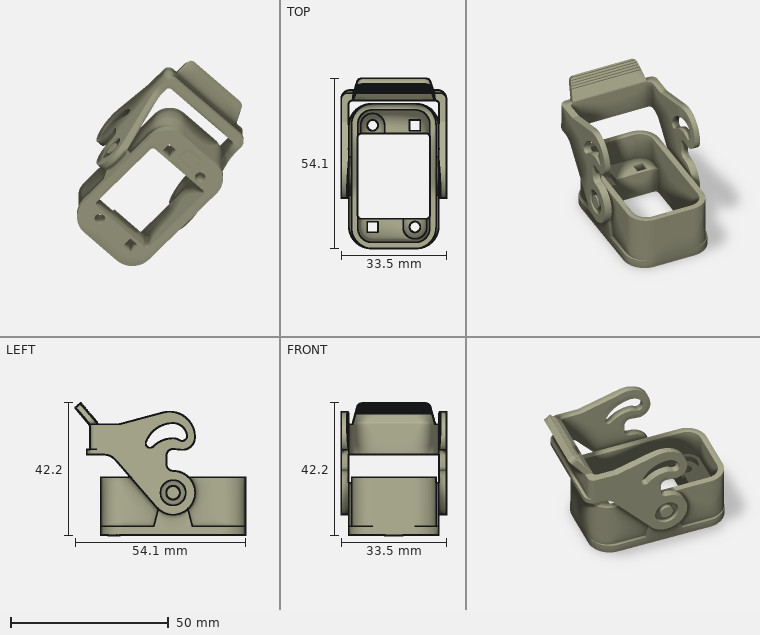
import cadquery as cq
import math

HOUSING_LENGTH = 46.0
HOUSING_HEIGHT = 18.45
FLANGE_WIDTH = 28.7
FLANGE_HEIGHT = 2.85
FLANGE_CORNER_RADIUS = 7.3
BODY_WIDTH = 26.8
BODY_CORNER_RADIUS = 6.6
WALL = 1.95
SHELF_HEIGHT = 9.0
WINDOW_LENGTH = 26.95
WINDOW_CORNER_RADIUS = 1.1

HOLE_X = 6.7
HOLE_Y = 16.15
SCREW_HOLE_DIAMETER = 3.35
SQUARE_HOLE_SIDE = 3.3
SCREW_SEAT_RADIUS = 3.8
SCREW_SEAT_DEPTH = 2.0

PAD_WIDTH = 5.7
PAD_LENGTH = 3.55
PAD_Y = 18.8
PAD_DEPTH = 0.2

PIVOT_Z = 13.5
PIN_RADIUS = 2.1
PIN_HOLE_RADIUS = 2.2
PIN_RECESS_RADIUS = 4.0
PIN_RECESS_DEPTH = 1.4
EAR_TOP_RADIUS = 3.25
EAR_BASE_HALF_LENGTH = 6.1

OVERALL_WIDTH = 33.5
ARM_THICKNESS = (OVERALL_WIDTH - FLANGE_WIDTH) / 2
LEVER_INNER_BACK = 24.0
LEVER_BACK = LEVER_INNER_BACK + ARM_THICKNESS
LEVER_INNER_RADIUS = 1.2
LEVER_OUTER_RADIUS = 2.0
PLATE_BOTTOM = 25.55
PLATE_TOP = 35.25
LIP_REACH = 1.05
LIP_HEIGHT = 1.75

EYE_RADIUS = 7.0
LOWER_EDGE_ANGLE = math.radians(49)
LOWER_EDGE_RADIUS = 5.0
UPPER_EDGE_ANGLE = math.radians(15)

NOTCH_FLOOR_Y = 2.05
NOTCH_RADIUS = 2.0
NOTCH_UPPER_Z = 25.35

HOOK_Z = 31.1
HOOK_RADIUS = 8.1
HOOK_TIP_RADIUS = 4.05

SLOT_BACK_RADIUS = 1.35
SLOT_BACK_Y = 7.3
SLOT_BACK_Z = 29.1
SLOT_ROOF_RADIUS = 4.45
SLOT_FRONT_RADIUS = 1.5
SLOT_FRONT_ANGLE = math.radians(7)
SLOT_FLOOR_Z = 30.8

RAMP_START_Y = 4.7
RAMP_START_Z = 38.35
RAMP_LINE_ANGLE = math.radians(54)
RAMP_ANGLE = math.radians(5)
RAMP_REACH = 21.65

TAB_ANGLE = math.radians(50)
TAB_TIP_Y = 31.1
TAB_TIP_Z = 42.0
TAB_TIP_HALF_WIDTH = 11.35
TAB_BASE_HALF_WIDTH = 13.1
TAB_EDGE_CHAMFER = 0.2
TAB_CORNER_RADIUS = 2.0
TAB_INNER_BEND_RADIUS = 0.9
TAB_OUTER_BEND_RADIUS = 1.9

GROOVE_COUNT = 5
GROOVE_PITCH = 0.85
GROOVE_WIDTH = 0.55
FIRST_GROOVE_OFFSET = 0.75

SIDES = (-1, 1)


def rounded_block(width, length, radius, bottom, top):
    """Upright block centred on the Z axis with rounded vertical edges."""
    block = cq.Workplane("XY").workplane(offset=bottom).rect(width, length).extrude(top - bottom)
    return block.edges("|Z").fillet(radius)


def ears():
    """Tapered ears on both long sides, rounded around the pivot axis."""
    base_to_pivot = math.hypot(EAR_BASE_HALF_LENGTH, PIVOT_Z - FLANGE_HEIGHT)
    lean = math.asin(EAR_TOP_RADIUS / base_to_pivot) - math.atan2(
        EAR_BASE_HALF_LENGTH, PIVOT_Z - FLANGE_HEIGHT
    )
    tangent_y = EAR_TOP_RADIUS * math.cos(lean)
    tangent_z = PIVOT_Z - EAR_TOP_RADIUS * math.sin(lean)
    return (
        cq.Workplane("YZ")
        .moveTo(EAR_BASE_HALF_LENGTH, 0)
        .lineTo(EAR_BASE_HALF_LENGTH, FLANGE_HEIGHT)
        .lineTo(tangent_y, tangent_z)
        .threePointArc((0, PIVOT_Z + EAR_TOP_RADIUS), (-tangent_y, tangent_z))
        .lineTo(-EAR_BASE_HALF_LENGTH, FLANGE_HEIGHT)
        .lineTo(-EAR_BASE_HALF_LENGTH, 0)
        .close()
        .extrude(FLANGE_WIDTH / 2, both=True)
    )


def pivot_pins():
    """Bar along the pivot axis; its ends are the pins, flush with the outer faces of the lever arms."""
    pin = cq.Workplane("YZ").center(0, PIVOT_Z).circle(PIN_RADIUS)
    return pin.extrude(OVERALL_WIDTH / 2, both=True)


def screw_seats():
    """Recesses around the screw holes, open towards the window."""
    seats = cq.Workplane("XY")
    for side in SIDES:
        seat_x = -side * HOLE_X
        seat_y = side * HOLE_Y
        left = seat_x - SCREW_SEAT_RADIUS
        right = seat_x + SCREW_SEAT_RADIUS
        seat = (
            cq.Workplane("XY")
            .workplane(offset=SHELF_HEIGHT - SCREW_SEAT_DEPTH)
            .moveTo(left, 0)
            .lineTo(left, seat_y)
            .threePointArc((seat_x, seat_y + side * SCREW_SEAT_RADIUS), (right, seat_y))
            .lineTo(right, 0)
            .close()
            .extrude(SCREW_SEAT_DEPTH)
        )
        seats = seats.union(seat)
    return seats


def make_housing():
    cavity_width = BODY_WIDTH - 2 * WALL
    cavity_length = HOUSING_LENGTH - 2 * WALL
    cavity = rounded_block(
        cavity_width, cavity_length, BODY_CORNER_RADIUS - WALL, SHELF_HEIGHT, HOUSING_HEIGHT
    )
    window = rounded_block(cavity_width, WINDOW_LENGTH, WINDOW_CORNER_RADIUS, 0, SHELF_HEIGHT)
    screw_holes = (
        cq.Workplane("XY")
        .pushPoints([(-HOLE_X, HOLE_Y), (HOLE_X, -HOLE_Y)])
        .circle(SCREW_HOLE_DIAMETER / 2)
        .extrude(SHELF_HEIGHT)
    )
    square_holes = (
        cq.Workplane("XY")
        .pushPoints([(HOLE_X, HOLE_Y), (-HOLE_X, -HOLE_Y)])
        .rect(SQUARE_HOLE_SIDE, SQUARE_HOLE_SIDE)
        .extrude(SHELF_HEIGHT)
    )
    pad = cq.Workplane("XY").center(0, PAD_Y).rect(PAD_WIDTH, PAD_LENGTH).extrude(-PAD_DEPTH)
    return (
        rounded_block(BODY_WIDTH, HOUSING_LENGTH, BODY_CORNER_RADIUS, 0, HOUSING_HEIGHT)
        .union(rounded_block(FLANGE_WIDTH, HOUSING_LENGTH, FLANGE_CORNER_RADIUS, 0, FLANGE_HEIGHT))
        .union(ears())
        .union(pivot_pins())
        .union(pad)
        .cut(cavity)
        .cut(window)
        .cut(screw_seats())
        .cut(screw_holes)
        .cut(square_holes)
    )


def bow(back, corner_radius, bottom, top):
    """U-shaped bow, open towards -Y, with the given back face and outer corner radius."""
    front = -HOUSING_LENGTH / 2
    height = top - bottom

    def slab(width, slab_back, radius):
        return (
            cq.Workplane("XY")
            .workplane(offset=bottom)
            .center(0, (front + slab_back) / 2)
            .rect(width, slab_back - front)
            .extrude(height)
            .edges("|Z and >Y")
            .fillet(radius)
        )

    return slab(OVERALL_WIDTH, back, corner_radius).cut(
        slab(FLANGE_WIDTH, LEVER_INNER_BACK, LEVER_INNER_RADIUS)
    )


def arm_profile():
    """Side outline of the lever: eye, notch, hook and back plate."""
    eye_low_y = EYE_RADIUS * math.sin(LOWER_EDGE_ANGLE)
    eye_low_z = PIVOT_Z - EYE_RADIUS * math.cos(LOWER_EDGE_ANGLE)
    bend_y = eye_low_y + (PLATE_BOTTOM - eye_low_z) / math.tan(LOWER_EDGE_ANGLE)
    setback = LOWER_EDGE_RADIUS * math.tan(LOWER_EDGE_ANGLE / 2)
    bend_end = (
        bend_y - setback * math.cos(LOWER_EDGE_ANGLE),
        PLATE_BOTTOM - setback * math.sin(LOWER_EDGE_ANGLE),
    )

    notch_y = NOTCH_FLOOR_Y - NOTCH_RADIUS
    notch_rise = math.sqrt((EYE_RADIUS + NOTCH_RADIUS) ** 2 - notch_y**2)
    eye_share = EYE_RADIUS / (EYE_RADIUS + NOTCH_RADIUS)
    eye_end = (notch_y * eye_share, PIVOT_Z + notch_rise * eye_share)

    tip_y = HOOK_TIP_RADIUS - EYE_RADIUS
    span_y = tip_y - notch_y
    span_z = HOOK_Z - NOTCH_UPPER_Z
    normal_angle = math.atan2(span_z, span_y) - math.acos(
        (NOTCH_RADIUS + HOOK_TIP_RADIUS) / math.hypot(span_y, span_z)
    )
    normal_y = math.cos(normal_angle)
    normal_z = math.sin(normal_angle)
    notch_end = (notch_y + NOTCH_RADIUS * normal_y, NOTCH_UPPER_Z + NOTCH_RADIUS * normal_z)
    tip_start = (tip_y - HOOK_TIP_RADIUS * normal_y, HOOK_Z - HOOK_TIP_RADIUS * normal_z)

    hook_y = HOOK_RADIUS - EYE_RADIUS
    crest_y = hook_y + HOOK_RADIUS * math.sin(UPPER_EDGE_ANGLE)
    crest_z = HOOK_Z + HOOK_RADIUS * math.cos(UPPER_EDGE_ANGLE)
    slope_foot_y = crest_y + (crest_z - PLATE_TOP) / math.tan(UPPER_EDGE_ANGLE)

    rear = LEVER_BACK + LIP_REACH
    return (
        cq.Workplane("YZ")
        .moveTo(rear, PLATE_BOTTOM)
        .lineTo(bend_y + setback, PLATE_BOTTOM)
        .tangentArcPoint(bend_end, relative=False)
        .lineTo(eye_low_y, eye_low_z)
        .tangentArcPoint(eye_end, relative=False)
        .tangentArcPoint((NOTCH_FLOOR_Y, PIVOT_Z + notch_rise), relative=False)
        .lineTo(NOTCH_FLOOR_Y, NOTCH_UPPER_Z)
        .tangentArcPoint(notch_end, relative=False)
        .lineTo(*tip_start)
        .tangentArcPoint((-EYE_RADIUS, HOOK_Z), relative=False)
        .tangentArcPoint((crest_y, crest_z), relative=False)
        .lineTo(slope_foot_y, PLATE_TOP)
        .lineTo(rear, PLATE_TOP)
        .close()
        .extrude(OVERALL_WIDTH / 2, both=True)
    )


def slot_floor_end(end_y, end_z, end_radius):
    """Point where the floor arc, which peaks on Y = 0, touches a round slot end."""
    drop = SLOT_FLOOR_Z - end_z
    radius = (end_y**2 + drop**2 - end_radius**2) / (2 * (end_radius + drop))
    share = radius / (radius + end_radius)
    center_z = SLOT_FLOOR_Z - radius
    return end_y * share, center_z + (end_z - center_z) * share


def curved_slots():
    """Banana-shaped slot through both hooks."""
    roof_z = HOOK_Z + SLOT_ROOF_RADIUS
    drop = roof_z - SLOT_BACK_Z
    rear_radius = (SLOT_BACK_Y**2 + drop**2 - SLOT_BACK_RADIUS**2) / (2 * (drop - SLOT_BACK_RADIUS))
    rear_share = rear_radius / (rear_radius - SLOT_BACK_RADIUS)
    rear_center_z = roof_z - rear_radius
    rear_roof_end = (SLOT_BACK_Y * rear_share, rear_center_z + (SLOT_BACK_Z - rear_center_z) * rear_share)

    along_y = -math.cos(SLOT_FRONT_ANGLE)
    along_z = math.sin(SLOT_FRONT_ANGLE)
    front_reach = SLOT_ROOF_RADIUS - SLOT_FRONT_RADIUS
    front_y = front_reach * along_y
    front_z = HOOK_Z + front_reach * along_z
    front_roof_end = (SLOT_ROOF_RADIUS * along_y, HOOK_Z + SLOT_ROOF_RADIUS * along_z)
    roof_middle = SLOT_ROOF_RADIUS * math.sqrt(0.5)

    return (
        cq.Workplane("YZ")
        .moveTo(*front_roof_end)
        .threePointArc((-roof_middle, HOOK_Z + roof_middle), (0, roof_z))
        .tangentArcPoint(rear_roof_end, relative=False)
        .tangentArcPoint(slot_floor_end(SLOT_BACK_Y, SLOT_BACK_Z, SLOT_BACK_RADIUS), relative=False)
        .tangentArcPoint((0, SLOT_FLOOR_Z), relative=False)
        .tangentArcPoint(slot_floor_end(front_y, front_z, SLOT_FRONT_RADIUS), relative=False)
        .tangentArcPoint(front_roof_end, relative=False)
        .close()
        .extrude(OVERALL_WIDTH / 2, both=True)
    )


def hook_ramp():
    """Wedge that thins the +X hook from its inner face towards the tip."""
    ramp_plane = cq.Plane(
        origin=(FLANGE_WIDTH / 2, RAMP_START_Y, RAMP_START_Z),
        xDir=(0, -math.sin(RAMP_LINE_ANGLE), math.cos(RAMP_LINE_ANGLE)),
        normal=(0, math.cos(RAMP_LINE_ANGLE), math.sin(RAMP_LINE_ANGLE)),
    )
    return (
        cq.Workplane(ramp_plane)
        .polyline([(0, 0), (RAMP_REACH, 0), (RAMP_REACH, RAMP_REACH * math.tan(RAMP_ANGLE))])
        .close()
        .extrude(RAMP_REACH, both=True)
    )


def pin_seat():
    """Pin hole with a wider recess sunk into the outer face of the +X arm."""
    hole = cq.Workplane("YZ").center(0, PIVOT_Z).circle(PIN_HOLE_RADIUS).extrude(OVERALL_WIDTH / 2)
    recess = (
        cq.Workplane("YZ")
        .workplane(offset=OVERALL_WIDTH / 2 - PIN_RECESS_DEPTH)
        .center(0, PIVOT_Z)
        .circle(PIN_RECESS_RADIUS)
        .extrude(PIN_RECESS_DEPTH)
    )
    return hole.union(recess)


def thumb_tab():
    """Leaning tab above the back plate, tapered towards its rounded tip and grooved on its inner face."""
    along_y = math.cos(TAB_ANGLE)
    along_z = math.sin(TAB_ANGLE)
    inner_tip_y = TAB_TIP_Y - ARM_THICKNESS * along_z
    outer_tip_z = TAB_TIP_Z - ARM_THICKNESS * along_y
    inner_bend_z = TAB_TIP_Z - (inner_tip_y - LEVER_INNER_BACK) * math.tan(TAB_ANGLE)
    outer_bend_z = outer_tip_z - (TAB_TIP_Y - LEVER_BACK) * math.tan(TAB_ANGLE)
    half_turn = math.pi / 4 - TAB_ANGLE / 2
    inner_setback = TAB_INNER_BEND_RADIUS * math.tan(half_turn)
    outer_setback = TAB_OUTER_BEND_RADIUS * math.tan(half_turn)
    inner_bend_end = (LEVER_INNER_BACK + inner_setback * along_y, inner_bend_z + inner_setback * along_z)
    outer_bend_start = (LEVER_BACK + outer_setback * along_y, outer_bend_z + outer_setback * along_z)
    strip = (
        cq.Workplane("YZ")
        .moveTo(LEVER_INNER_BACK, PLATE_BOTTOM)
        .lineTo(LEVER_INNER_BACK, inner_bend_z - inner_setback)
        .tangentArcPoint(inner_bend_end, relative=False)
        .lineTo(inner_tip_y, TAB_TIP_Z)
        .lineTo(TAB_TIP_Y, outer_tip_z)
        .lineTo(*outer_bend_start)
        .tangentArcPoint((LEVER_BACK, outer_bend_z - outer_setback), relative=False)
        .lineTo(LEVER_BACK, PLATE_BOTTOM)
        .close()
        .extrude(TAB_BASE_HALF_WIDTH, both=True)
    )

    face = cq.Plane(origin=(0, inner_tip_y, TAB_TIP_Z), xDir=(1, 0, 0), normal=(0, -along_z, along_y))
    tab_length = (TAB_TIP_Z - inner_bend_z) / along_z
    taper_corners = [
        (-TAB_TIP_HALF_WIDTH, 0),
        (TAB_TIP_HALF_WIDTH, 0),
        (TAB_BASE_HALF_WIDTH, -tab_length),
        (-TAB_BASE_HALF_WIDTH, -tab_length),
    ]
    root = cq.Workplane(face).center(0, -3 * tab_length / 2).rect(2 * TAB_BASE_HALF_WIDTH, tab_length)
    rounded_outline = (
        cq.Workplane(face)
        .polyline(taper_corners)
        .close()
        .extrude(tab_length, both=True)
        .edges(cq.selectors.ParallelDirSelector(face.zDir))
        .edges(">Z")
        .fillet(TAB_CORNER_RADIUS)
        .union(root.extrude(tab_length, both=True))
    )

    slab = cq.Workplane(face).polyline(taper_corners).close().extrude(-ARM_THICKNESS)
    chamfered_slab = slab
    for side in SIDES:
        spread = side * (TAB_BASE_HALF_WIDTH - TAB_TIP_HALF_WIDTH)
        slant = cq.Vector(spread, -tab_length * along_y, -tab_length * along_z)
        slanting_edges = cq.selectors.ParallelDirSelector(slant)
        chamfered_slab = chamfered_slab.edges(slanting_edges).chamfer(TAB_EDGE_CHAMFER)
    slivers = slab.cut(chamfered_slab)

    section = cq.Plane(origin=(0, inner_tip_y, TAB_TIP_Z), xDir=(0, -along_y, -along_z), normal=(1, 0, 0))
    groove_places = [(FIRST_GROOVE_OFFSET + GROOVE_PITCH * index, 0) for index in range(GROOVE_COUNT)]
    grooves = (
        cq.Workplane(section)
        .pushPoints(groove_places)
        .polygon(4, GROOVE_WIDTH)
        .extrude(TAB_BASE_HALF_WIDTH, both=True)
    )
    return strip.intersect(rounded_outline).cut(slivers).cut(grooves)


def make_lever():
    lever = bow(LEVER_BACK, LEVER_OUTER_RADIUS, 0, HOOK_Z + HOOK_RADIUS)
    lip = bow(LEVER_BACK + LIP_REACH, LEVER_OUTER_RADIUS + LIP_REACH, PLATE_BOTTOM, PLATE_BOTTOM + LIP_HEIGHT)
    lever = lever.union(lip).intersect(arm_profile()).union(thumb_tab()).cut(curved_slots())
    for cutter in (hook_ramp(), pin_seat()):
        lever = lever.cut(cutter).cut(cutter.mirror("YZ"))
    return lever


housing = make_housing()
lever = make_lever()

result = cq.Compound.makeCompound([housing.solids().val(), lever.solids().val()])